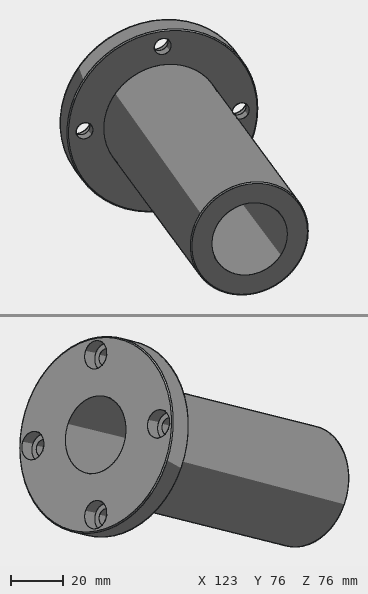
import cadquery as cq

total_length = 123.0
flange_diameter = 76.0
flange_thickness = 10.0
sleeve_diameter = 47.0
bore_diameter = 30.0
edge_chamfer = 0.5

hole_count = 4
bolt_circle_diameter = 62.2
hole_diameter = 6.6
counterbore_diameter = 11.0
counterbore_depth = 6.0


def chamfered_cylinder(diameter, length):
    """Cylinder along +X from the flange face, chamfered at both ends."""
    cylinder = cq.Workplane("YZ").circle(diameter / 2).extrude(length)
    return cylinder.faces("<X or >X").chamfer(edge_chamfer)


def mounting_holes():
    """Through holes with counterbores opening on the flange face."""
    hole_positions = cq.Workplane("YZ").polarArray(bolt_circle_diameter / 2, 0, 360, hole_count)
    through_holes = hole_positions.circle(hole_diameter / 2).extrude(flange_thickness)
    counterbores = hole_positions.circle(counterbore_diameter / 2).extrude(counterbore_depth)
    return through_holes.union(counterbores)


flange = chamfered_cylinder(flange_diameter, flange_thickness)
sleeve = chamfered_cylinder(sleeve_diameter, total_length)
bore = cq.Workplane("YZ").circle(bore_diameter / 2).extrude(total_length)

result = flange.union(sleeve).cut(bore).cut(mounting_holes())